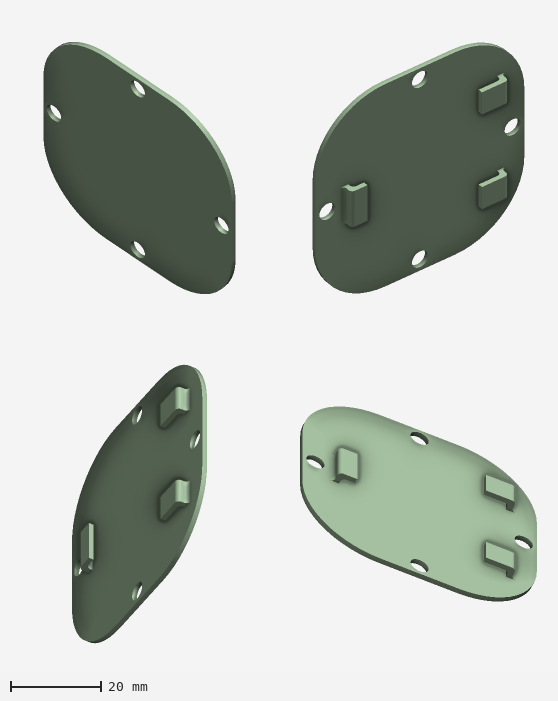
import cadquery as cq

plate_size = 57.15
plate_thickness = 1.2
corner_radius = 19.05
hole_diameter = 4.4
hole_offset = 25.4

total_depth = 3.95
hook_thickness = 1.2
bend_radius = 1.05
root_radius = 1.0

left_hook_x = 22.3
left_hook_reach = 7.4
left_hook_width = 6.25
left_hook_spacing = 26.75

right_hook_x = 20.85
right_hook_reach = 4.4
right_hook_width = 10.05


def make_plate():
    """Rounded square plate with one hole near the middle of each side."""
    hole_centres = [(hole_offset, 0), (-hole_offset, 0), (0, hole_offset), (0, -hole_offset)]
    return (
        cq.Workplane("XZ")
        .rect(plate_size, plate_size)
        .extrude(-plate_thickness)
        .edges("|Y")
        .fillet(corner_radius)
        .cut(
            cq.Workplane("XZ")
            .pushPoints(hole_centres)
            .circle(hole_diameter / 2)
            .extrude(-plate_thickness)
        )
    )


def make_hook(wall_x, reach, width, side, centre_z):
    """Hook whose outer wall is wall_x from the centre; side is -1 for -X, +1 for +X."""
    base_y = plate_thickness / 2
    inner_x = wall_x - hook_thickness
    tip_x = wall_x - reach
    arm_y = total_depth - hook_thickness

    def point(x, y):
        return (side * x, y)

    profile = (
        cq.Workplane("XY", origin=(0, 0, centre_z))
        .moveTo(*point(inner_x, base_y))
        .lineTo(*point(inner_x, arm_y - bend_radius))
        .radiusArc(point(inner_x - bend_radius, arm_y), side * -bend_radius)
        .lineTo(*point(tip_x, arm_y))
        .lineTo(*point(tip_x, total_depth))
        .lineTo(*point(wall_x - bend_radius, total_depth))
        .radiusArc(point(wall_x, total_depth - bend_radius), side * bend_radius)
        .lineTo(*point(wall_x, plate_thickness + root_radius))
        .radiusArc(point(wall_x + root_radius, plate_thickness), side * -root_radius)
        .lineTo(*point(wall_x + root_radius, base_y))
        .close()
    )
    return profile.extrude(width / 2, both=True)


result = make_plate()
for centre_z in (-left_hook_spacing / 2, left_hook_spacing / 2):
    result = result.union(make_hook(left_hook_x, left_hook_reach, left_hook_width, -1, centre_z))
result = result.union(make_hook(right_hook_x, right_hook_reach, right_hook_width, 1, 0))